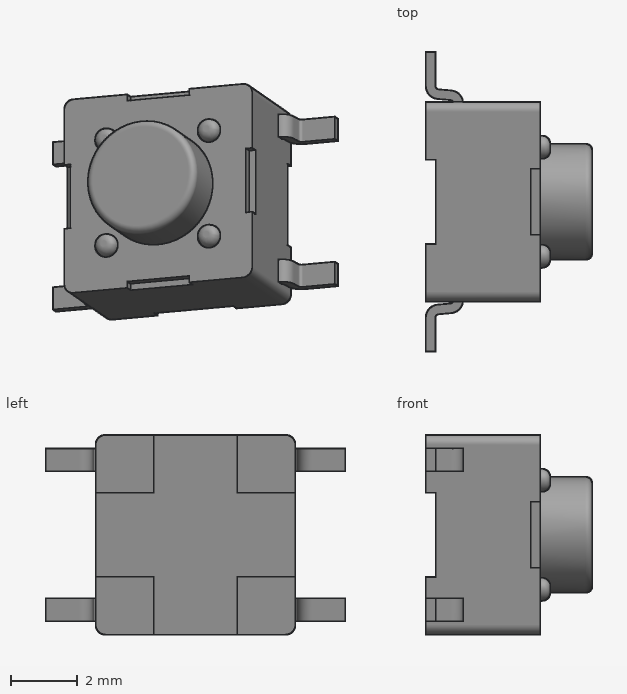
import cadquery as cq
import math


body_width = 6.0
body_depth = 3.45
corner_radius = 0.3
channel_width = 2.52
channel_depth = 0.3

cover_thickness = 0.3
notch_length = 1.98
notch_depth = 0.2

total_depth = 5.0
button_radius = 1.75
button_edge_radius = 0.21

rivet_radius = 0.35
rivet_height = 0.3
rivet_edge_radius = 0.25
rivet_offset = 1.64

terminal_span = 9.0
terminal_thickness = 0.3
terminal_width = 0.69
terminal_offset = 2.25
bend_inner_radius = 0.1
bend_outer_radius = bend_inner_radius + terminal_thickness
foot_bend_gap = 0.48
web_length = 0.38
web_tilt = math.radians(5)
root_depth = 0.18

SIDES = (-1, 1)


def make_housing():
    housing = (
        cq.Workplane("YZ")
        .rect(body_width, body_width)
        .extrude(body_depth)
        .edges("|X")
        .fillet(corner_radius)
    )
    for size_y, size_z in ((channel_width, body_width), (body_width, channel_width)):
        channel = cq.Workplane("YZ").rect(size_y, size_z).extrude(channel_depth)
        housing = housing.cut(channel)
    return housing


def make_cover_notches():
    """Four shallow blocks, one at the middle of each side of the cover plate."""
    notch_center = (body_width - notch_depth) / 2
    plane = cq.Workplane("YZ").workplane(offset=body_depth - cover_thickness)
    across_y = plane.pushPoints([(side * notch_center, 0) for side in SIDES])
    across_z = plane.pushPoints([(0, side * notch_center) for side in SIDES])
    blocks_y = across_y.rect(notch_depth, notch_length).extrude(cover_thickness)
    blocks_z = across_z.rect(notch_length, notch_depth).extrude(cover_thickness)
    return blocks_y.union(blocks_z)


def make_button():
    return (
        cq.Workplane("YZ")
        .workplane(offset=body_depth)
        .circle(button_radius)
        .extrude(total_depth - body_depth)
        .faces(">X")
        .edges()
        .fillet(button_edge_radius)
    )


def make_rivets():
    return (
        cq.Workplane("YZ")
        .workplane(offset=body_depth)
        .rect(2 * rivet_offset, 2 * rivet_offset, forConstruction=True)
        .vertices()
        .circle(rivet_radius)
        .extrude(rivet_height)
        .faces(">X")
        .edges()
        .fillet(rivet_edge_radius)
    )


def polar(center, radius, angle):
    return (center[0] + radius * math.cos(angle), center[1] + radius * math.sin(angle))


def make_terminal():
    """Upper terminal on the +Y wall: foot, bend, tilted web, reverse bend, buried root."""
    wall = body_width / 2
    tip = terminal_span / 2
    root = wall - root_depth

    foot_center = (bend_outer_radius, wall + foot_bend_gap)
    web_normal = -math.pi / 2 - web_tilt
    web_start = polar(foot_center, bend_outer_radius + bend_inner_radius, web_normal)
    root_center = polar(web_start, web_length, -web_tilt)
    foot_middle = (-math.pi + web_normal) / 2
    root_start = web_normal + math.pi
    root_middle = root_start / 2

    profile = (
        cq.Workplane("XY")
        .workplane(offset=terminal_offset - terminal_width / 2)
        .moveTo(0, tip)
        .lineTo(0, foot_center[1])
        .threePointArc(
            polar(foot_center, bend_outer_radius, foot_middle),
            polar(foot_center, bend_outer_radius, web_normal),
        )
        .lineTo(*polar(root_center, bend_inner_radius, root_start))
        .threePointArc(
            polar(root_center, bend_inner_radius, root_middle),
            polar(root_center, bend_inner_radius, 0),
        )
        .lineTo(root_center[0] + bend_inner_radius, root)
        .lineTo(root_center[0] + bend_outer_radius, root)
        .lineTo(*polar(root_center, bend_outer_radius, 0))
        .threePointArc(
            polar(root_center, bend_outer_radius, root_middle),
            polar(root_center, bend_outer_radius, root_start),
        )
        .lineTo(*polar(foot_center, bend_inner_radius, web_normal))
        .threePointArc(
            polar(foot_center, bend_inner_radius, foot_middle),
            polar(foot_center, bend_inner_radius, -math.pi),
        )
        .lineTo(terminal_thickness, tip)
        .close()
    )
    return profile.extrude(terminal_width)


def make_terminals():
    upper = make_terminal()
    upper_pair = upper.union(upper.mirror("XZ"))
    return upper_pair.union(upper_pair.mirror("XY"))


result = (
    make_housing()
    .cut(make_cover_notches())
    .union(make_button())
    .union(make_rivets())
    .union(make_terminals())
)